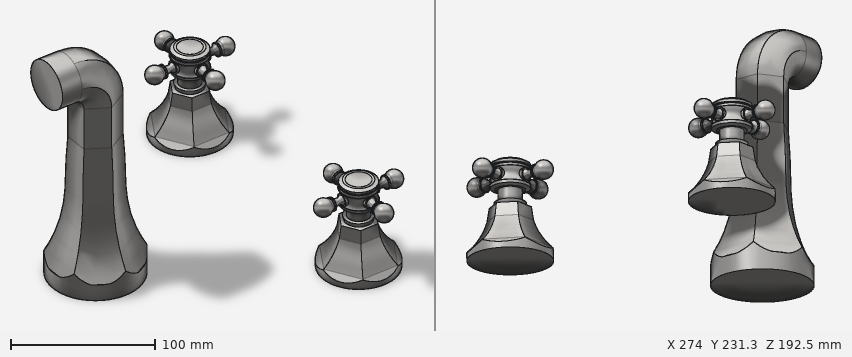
import cadquery as cq
import math

SIDES = 6
SIDE_ANGLE = 360 / SIDES

HANDLE_OFFSET_X = 100.0
HANDLE_OFFSET_Y = 152.6

SPOUT_BASE_RADIUS = 36.0
SPOUT_BASE_HEIGHT = 13.2
SPOUT_FOOT_APOTHEM = 35.4
SPOUT_NECK_APOTHEM = 16.7
SPOUT_FLARE_TOP = 114.8
SPOUT_FLARE_POINTS = [(30.7, 21.0), (25.8, 32.3), (20.5, 51.2), (18.0, 82.5)]
SPOUT_HEIGHT = 192.5
OUTLET_RADIUS = 19.0
OUTLET_REACH = 41.7
BEND_RADIUS = 25.0
OUTLET_HEIGHT = SPOUT_HEIGHT - OUTLET_RADIUS
BEND_START = OUTLET_HEIGHT - BEND_RADIUS

PEDESTAL_BASE_RADIUS = 30.1
PEDESTAL_BASE_HEIGHT = 4.0
PEDESTAL_FOOT_APOTHEM = 30.5
PEDESTAL_SLOPE_END = (25.8, 8.2)
PEDESTAL_CURVE_MIDDLE = (18.4, 18.4)
PEDESTAL_CURVE_END = (14.3, 28.8)
PEDESTAL_TOP_APOTHEM = 13.0
PEDESTAL_HEIGHT = 39.0

COLLAR_TOP_RADIUS = 11.2
COLLAR_BOTTOM_RADIUS = 10.5
COLLAR_TOP = 42.2
STEM_RADIUS = 8.5
HUB_BOTTOM = 51.8
HUB_CHAMFER_RADIUS = 10.7
HUB_CHAMFER_TOP = 53.0
HUB_RADIUS = 14.0
ARM_HEIGHT = 60.3
BAND_HALF_HEIGHT = 5.2
BAND_LIP_RADIUS = 14.5
BAND_WAIST_RADIUS = 13.2
CAP_GROOVE_BOTTOM = 67.7
CAP_GROOVE_TOP = 68.5
CAP_GROOVE_DEPTH = 0.8
CAP_EDGE_HEIGHT = 70.5
CAP_BEAD_OUTER_RADIUS = 11.2
CAP_BEAD_INNER_RADIUS = 9.3
CAP_BEAD_HEIGHT = 0.5
CAP_TOP = 71.8

ARM_COUNT = 4
ARM_REACH = 37.0
BALL_RADIUS = 6.9
ARM_FLANGE_RADIUS = 5.0
ARM_ROOT_RADIUS = 3.8
ARM_WAIST = (17.3, 2.7)
ARM_END_RADIUS = 4.7
ARM_COLLAR_START = 22.5
ARM_COLLAR_WIDTH = 1.5
ARM_COLLAR_RADIUS = 5.2
ARM_NECK_RADIUS = 4.5
ARM_NECK_END = 25.8


def hexagonal_solid(profile, foot_apothem):
    """Solid of hexagonal section with flats facing +Y and -Y.

    The profile is a closed half outline (apothem, height) on the YZ plane. Mirrored and
    extruded along X it bounds one pair of flats; three such slabs 60 degrees apart meet in
    the hexagon. The foot apothem is the largest one in the profile.
    """
    corner_radius = foot_apothem / math.cos(math.pi / SIDES)
    half = profile.extrude(2 * corner_radius).translate((-corner_radius, 0, 0))
    slab = half.union(half.mirror("XZ"))
    solid = slab
    for turn in (1, 2):
        solid = solid.intersect(slab.rotate((0, 0, 0), (0, 0, 1), turn * SIDE_ANGLE))
    return solid


def make_spout_column():
    flare_end = (SPOUT_NECK_APOTHEM, SPOUT_FLARE_TOP)
    profile = (
        cq.Workplane("YZ")
        .moveTo(0, SPOUT_BASE_HEIGHT)
        .lineTo(SPOUT_FOOT_APOTHEM, SPOUT_BASE_HEIGHT)
        .spline(SPOUT_FLARE_POINTS + [flare_end], includeCurrent=True)
        .lineTo(SPOUT_NECK_APOTHEM, BEND_START)
        .lineTo(0, BEND_START)
        .close()
    )
    flare = hexagonal_solid(profile, SPOUT_FOOT_APOTHEM)
    envelope = cq.Workplane("XY").circle(SPOUT_BASE_RADIUS).extrude(SPOUT_HEIGHT)
    base = cq.Workplane("XY").circle(SPOUT_BASE_RADIUS).extrude(SPOUT_BASE_HEIGHT)
    return base.union(flare.intersect(envelope))


def six_arc_circle(workplane, radius):
    """Circle split into six arcs, so that it pairs with the sides of a hexagon."""
    def rim_point(degrees):
        angle = math.radians(degrees)
        return (radius * math.cos(angle), radius * math.sin(angle))

    outline = workplane.moveTo(*rim_point(0))
    for side in range(SIDES):
        start = side * SIDE_ANGLE
        outline = outline.threePointArc(rim_point(start + SIDE_ANGLE / 2), rim_point(start + SIDE_ANGLE))
    return outline.close()


def make_spout_bend():
    """Quarter bend that turns the hexagonal column into the round outlet."""
    path = (
        cq.Workplane("YZ")
        .moveTo(0, BEND_START)
        .radiusArc((-BEND_RADIUS, OUTLET_HEIGHT), -BEND_RADIUS)
    )
    hexagon_diameter = 2 * SPOUT_NECK_APOTHEM / math.cos(math.pi / SIDES)
    hexagon = cq.Workplane("XY").workplane(offset=BEND_START).polygon(SIDES, hexagon_diameter)
    outlet_plane = cq.Workplane("XZ", origin=(0, -BEND_RADIUS, OUTLET_HEIGHT))
    outlet = six_arc_circle(outlet_plane, OUTLET_RADIUS)
    hexagon.ctx.pendingWires.extend(outlet.ctx.pendingWires)
    return hexagon.sweep(path, multisection=True)


def make_spout():
    outlet_plane = cq.Workplane("XZ", origin=(0, -BEND_RADIUS, OUTLET_HEIGHT))
    outlet = outlet_plane.circle(OUTLET_RADIUS).extrude(OUTLET_REACH - BEND_RADIUS)
    return make_spout_column().union(make_spout_bend()).union(outlet)


def make_pedestal():
    """Hexagonal flared foot of a handle, with flats facing +X and -X."""
    profile = (
        cq.Workplane("YZ")
        .moveTo(0, PEDESTAL_BASE_HEIGHT)
        .lineTo(PEDESTAL_FOOT_APOTHEM, PEDESTAL_BASE_HEIGHT)
        .lineTo(*PEDESTAL_SLOPE_END)
        .threePointArc(PEDESTAL_CURVE_MIDDLE, PEDESTAL_CURVE_END)
        .lineTo(PEDESTAL_TOP_APOTHEM, PEDESTAL_HEIGHT)
        .lineTo(0, PEDESTAL_HEIGHT)
        .close()
    )
    flare = hexagonal_solid(profile, PEDESTAL_FOOT_APOTHEM).rotate((0, 0, 0), (0, 0, 1), 90)
    envelope = cq.Workplane("XY").circle(PEDESTAL_BASE_RADIUS).extrude(PEDESTAL_HEIGHT)
    base = cq.Workplane("XY").circle(PEDESTAL_BASE_RADIUS).extrude(PEDESTAL_BASE_HEIGHT)
    return base.union(flare.intersect(envelope))


def make_stem_and_hub():
    """Turned collar, stem, waisted hub and beaded cap, revolved about Z."""
    band_bottom = ARM_HEIGHT - BAND_HALF_HEIGHT
    band_top = ARM_HEIGHT + BAND_HALF_HEIGHT
    groove_radius = HUB_RADIUS - CAP_GROOVE_DEPTH
    bead_middle = (CAP_BEAD_OUTER_RADIUS + CAP_BEAD_INNER_RADIUS) / 2
    profile = (
        cq.Workplane("XZ")
        .moveTo(0, PEDESTAL_HEIGHT)
        .lineTo(COLLAR_BOTTOM_RADIUS, PEDESTAL_HEIGHT)
        .lineTo(COLLAR_TOP_RADIUS, COLLAR_TOP)
        .lineTo(STEM_RADIUS, COLLAR_TOP)
        .lineTo(STEM_RADIUS, HUB_BOTTOM)
        .lineTo(HUB_CHAMFER_RADIUS, HUB_BOTTOM)
        .lineTo(HUB_RADIUS, HUB_CHAMFER_TOP)
        .lineTo(HUB_RADIUS, band_bottom)
        .lineTo(BAND_LIP_RADIUS, band_bottom)
        .threePointArc((BAND_WAIST_RADIUS, ARM_HEIGHT), (BAND_LIP_RADIUS, band_top))
        .lineTo(HUB_RADIUS, band_top)
        .lineTo(HUB_RADIUS, CAP_GROOVE_BOTTOM)
        .lineTo(groove_radius, CAP_GROOVE_BOTTOM)
        .lineTo(groove_radius, CAP_GROOVE_TOP)
        .lineTo(HUB_RADIUS, CAP_GROOVE_TOP)
        .lineTo(HUB_RADIUS, CAP_EDGE_HEIGHT)
        .lineTo(CAP_BEAD_OUTER_RADIUS, CAP_TOP)
        .threePointArc((bead_middle, CAP_TOP + CAP_BEAD_HEIGHT), (CAP_BEAD_INNER_RADIUS, CAP_TOP))
        .lineTo(0, CAP_TOP)
        .close()
    )
    return profile.revolve(360, (0, 0, 0), (0, 1, 0))


def make_arm():
    """One turned arm along +X, from a flange at the hub to a ball."""
    ball_center = ARM_REACH - BALL_RADIUS
    collar_end = ARM_COLLAR_START + ARM_COLLAR_WIDTH
    neck_end_radius = math.sqrt(BALL_RADIUS**2 - (ball_center - ARM_NECK_END) ** 2)
    profile = (
        cq.Workplane("XZ", origin=(0, 0, ARM_HEIGHT))
        .lineTo(0, ARM_FLANGE_RADIUS)
        .lineTo(BAND_LIP_RADIUS, ARM_FLANGE_RADIUS)
        .lineTo(BAND_LIP_RADIUS, ARM_ROOT_RADIUS)
        .threePointArc(ARM_WAIST, (ARM_COLLAR_START, ARM_END_RADIUS))
        .lineTo(ARM_COLLAR_START, ARM_COLLAR_RADIUS)
        .lineTo(collar_end, ARM_COLLAR_RADIUS)
        .lineTo(collar_end, ARM_NECK_RADIUS)
        .lineTo(ARM_NECK_END, neck_end_radius)
        .threePointArc((ball_center, BALL_RADIUS), (ARM_REACH, 0))
        .close()
    )
    return profile.revolve(360, (0, 0, 0), (1, 0, 0))


def make_handle(x):
    handle = make_pedestal().union(make_stem_and_hub())
    arm = make_arm()
    for index in range(ARM_COUNT):
        handle = handle.union(arm.rotate((0, 0, 0), (0, 0, 1), index * 360 / ARM_COUNT))
    return handle.translate((x, HANDLE_OFFSET_Y, 0))


spout = make_spout()
handles = [make_handle(x) for x in (-HANDLE_OFFSET_X, HANDLE_OFFSET_X)]

result = cq.Compound.makeCompound([spout.val()] + [handle.val() for handle in handles])